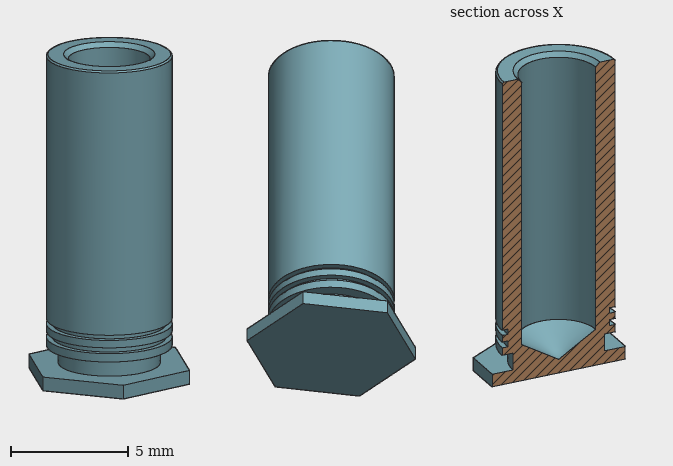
import cadquery as cq
import math

total_height = 14.29
hex_across_flats = 6.35
hex_height = 0.61

body_diameter = 5.39
groove_diameter = 4.87
neck_diameter = 4.37

neck_top = 1.39
lower_rib_top = 1.76
lower_groove_top = 2.01
upper_rib_top = 2.35
upper_groove_top = 2.57
rim_chamfer = 0.07

bore_diameter = 3.5
mouth_diameter = 3.9
drill_point_angle = 118.0
bore_bottom = 1.71


def cylinder(diameter, bottom, top):
    """Upright cylinder on the Z axis between two heights."""
    return cq.Workplane("XY").workplane(offset=bottom).circle(diameter / 2).extrude(top - bottom)


def hex_head():
    """Hexagonal plate with two corners on the X axis."""
    across_corners = hex_across_flats / math.cos(math.radians(30))
    return cq.Workplane("XY").polygon(6, across_corners).extrude(hex_height)


def turned_body():
    """Neck, two ribs separated by grooves, and the long barrel."""
    barrel = cylinder(body_diameter, upper_groove_top, total_height)
    barrel = barrel.faces(">Z").edges().chamfer(rim_chamfer)
    return (
        cylinder(neck_diameter, 0, neck_top)
        .union(cylinder(body_diameter, neck_top, lower_rib_top))
        .union(cylinder(groove_diameter, lower_rib_top, lower_groove_top))
        .union(cylinder(body_diameter, lower_groove_top, upper_rib_top))
        .union(cylinder(groove_diameter, upper_rib_top, upper_groove_top))
        .union(barrel)
    )


def bore():
    """Revolved cutter: drill point, straight bore and 45 degree mouth."""
    bore_radius = bore_diameter / 2
    mouth_radius = mouth_diameter / 2
    point_depth = bore_radius / math.tan(math.radians(drill_point_angle / 2))
    mouth_depth = mouth_radius - bore_radius
    return (
        cq.Workplane("XZ")
        .moveTo(0, bore_bottom - point_depth)
        .lineTo(bore_radius, bore_bottom)
        .lineTo(bore_radius, total_height - mouth_depth)
        .lineTo(mouth_radius, total_height)
        .lineTo(0, total_height)
        .close()
        .revolve(360, (0, 0, 0), (0, 1, 0))
    )


result = hex_head().union(turned_body()).cut(bore())